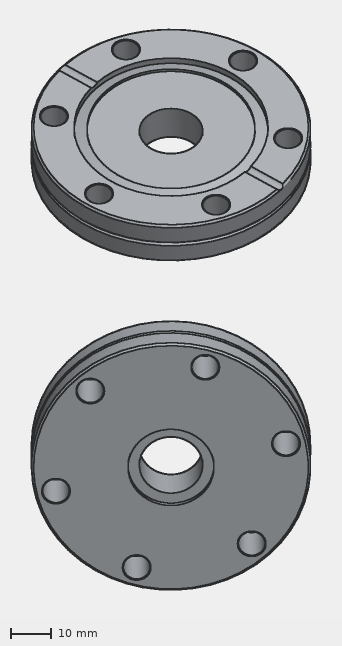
import cadquery as cq

flange_diameter = 69.5
thickness = 12.7
rim_chamfer = 0.55
bore_diameter = 15.8

counterbore_diameter = 21.4
counterbore_depth = 1.25

rim_groove_width = 1.1
rim_groove_depth = 0.7

recess_diameter = 48.3
recess_depth = 1.8
knife_diameter = 41.85
knife_depth = 0.6
floor_depth = 1.4

bolt_count = 6
bolt_circle_diameter = 58.8
bolt_hole_diameter = 6.7
bolt_hole_chamfer = 0.2

leak_groove_diameter = 3.3
leak_groove_depth = 0.55


def flange_body():
    """Revolve the half section: counterbore, bore, floor, knife edge, recess and rim."""
    rim = flange_diameter / 2
    bore = bore_diameter / 2
    counterbore = counterbore_diameter / 2
    knife = knife_diameter / 2
    recess = recess_diameter / 2
    middle = thickness / 2
    half_groove = rim_groove_width / 2
    section = [
        (bore, counterbore_depth),
        (counterbore, counterbore_depth),
        (counterbore, 0),
        (rim - rim_chamfer, 0),
        (rim, rim_chamfer),
        (rim, middle - half_groove),
        (rim - rim_groove_depth, middle),
        (rim, middle + half_groove),
        (rim, thickness - rim_chamfer),
        (rim - rim_chamfer, thickness),
        (recess, thickness),
        (recess, thickness - recess_depth),
        (knife, thickness - knife_depth),
        (knife, thickness - floor_depth),
        (bore, thickness - floor_depth),
    ]
    return cq.Workplane("XZ").polyline(section).close().revolve(360, (0, 0, 0), (0, 1, 0))


def bolt_hole_cutters():
    """Through cylinders with a cone widening at each face."""
    radius = bolt_hole_diameter / 2
    mouth = radius + bolt_hole_chamfer
    section = [
        (0, 0),
        (mouth, 0),
        (radius, bolt_hole_chamfer),
        (radius, thickness - bolt_hole_chamfer),
        (mouth, thickness),
        (0, thickness),
    ]
    cutter = cq.Workplane("XZ").polyline(section).close().revolve(360, (0, 0, 0), (0, 1, 0))
    return (
        cq.Workplane("XY")
        .polarArray(bolt_circle_diameter / 2, 90, 360, bolt_count)
        .eachpoint(lambda place: cutter.val().moved(place), combine=False)
    )


def leak_groove_cutter():
    """Cylinder along X that sinks the groove depth into the top face."""
    axis_height = thickness - leak_groove_depth + leak_groove_diameter / 2
    return (
        cq.Workplane("YZ")
        .center(0, axis_height)
        .circle(leak_groove_diameter / 2)
        .extrude(flange_diameter / 2, both=True)
    )


result = flange_body().cut(bolt_hole_cutters()).cut(leak_groove_cutter())